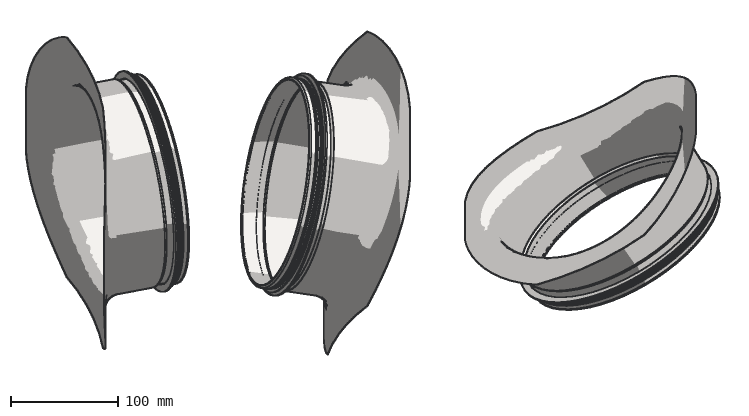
import cadquery as cq
import math


flange_width = 244.0
flange_height = 282.0
overall_depth = 91.09

sheet = 0.5
duct_radius = 315.0

collar_outer_radius = 197.95 / 2
collar_inner_radius = collar_outer_radius - sheet
spigot_outer_radius = 194.15 / 2
spigot_inner_radius = spigot_outer_radius - sheet
hem_outer_radius = 198.95 / 2
hem_inner_radius = hem_outer_radius - sheet

hem_depth = 6.0
rim_rounding = 1.8
step_start = 21.6
step_end = 24.0
duct_sag = duct_radius - math.sqrt(duct_radius**2 - (flange_width / 2) ** 2)
saddle_depth = overall_depth - duct_sag
duct_axis_y = -(saddle_depth + duct_radius)

saddle_fillet = 15.0

flat_end_half_width = 56.7
flat_side_half_height = 36.0
corner_arc_x = 95.0
corner_arc_z = 106.6

trim_margin = 20.0

seal_inner_radius = 195.35 / 2
seal_outer_radius = 197.95 / 2
seal_end = 15.2
seal_ribs = [
    (198.95 / 2, 7.3, 8.2),
    (204.35 / 2, 10.2, 11.1),
    (209.35 / 2, 13.6, seal_end),
]


def revolve_about_branch(profile):
    """Turn a closed profile, with X as radius, about the branch axis."""
    return profile.close().revolve(360, (0, 0, 0), (0, 1, 0))


def saddle_form(skin_radius, post_radius, fillet_radius):
    """Solid duct segment with a solid post standing on it and a rounded joint."""
    width = flange_width + 2 * trim_margin
    length = flange_height + 2 * trim_margin
    depth = 2 * (overall_depth + trim_margin)
    duct = (
        cq.Workplane("XY")
        .center(0, duct_axis_y)
        .circle(skin_radius)
        .extrude(length / 2, both=True)
    )
    window = cq.Workplane("XY").box(width, depth, length)
    post = (
        cq.Workplane("XZ", origin=(0, -step_end, 0))
        .circle(post_radius)
        .extrude(overall_depth - step_end)
    )
    form = duct.intersect(window).union(post)
    joint = cq.selectors.BoxSelector(
        (-post_radius - 1, -overall_depth, -post_radius - 1),
        (post_radius + 1, -step_end - 1, post_radius + 1),
        boundingbox=True,
    )
    return form.edges(joint).fillet(fillet_radius)


def flange_blank():
    """Prism along Y with the outline of the flange."""
    half_width = flange_width / 2
    half_height = flange_height / 2
    return (
        cq.Workplane("XZ")
        .moveTo(-flat_end_half_width, half_height)
        .lineTo(flat_end_half_width, half_height)
        .threePointArc((corner_arc_x, corner_arc_z), (half_width, flat_side_half_height))
        .lineTo(half_width, -flat_side_half_height)
        .threePointArc((corner_arc_x, -corner_arc_z), (flat_end_half_width, -half_height))
        .lineTo(-flat_end_half_width, -half_height)
        .threePointArc((-corner_arc_x, -corner_arc_z), (-half_width, -flat_side_half_height))
        .lineTo(-half_width, flat_side_half_height)
        .threePointArc((-corner_arc_x, corner_arc_z), (-flat_end_half_width, half_height))
        .close()
        .extrude(overall_depth)
    )


def make_saddle():
    """Curved flange and collar, one sheet thick."""
    outside = saddle_form(duct_radius + sheet, collar_outer_radius, saddle_fillet - sheet)
    inside = saddle_form(duct_radius, collar_inner_radius, saddle_fillet)
    return outside.cut(inside).intersect(flange_blank())


def make_spigot():
    """Spigot sheet with a folded-back hem at the end and a conical step up to the collar."""
    profile = (
        cq.Workplane("XY")
        .moveTo(collar_inner_radius, -step_end)
        .lineTo(spigot_inner_radius, -step_start)
        .lineTo(spigot_inner_radius, 0)
        .lineTo(hem_outer_radius - rim_rounding, 0)
        .radiusArc((hem_outer_radius, -rim_rounding), rim_rounding)
        .lineTo(hem_outer_radius, -hem_depth)
        .lineTo(hem_inner_radius, -hem_depth)
        .lineTo(hem_inner_radius, -rim_rounding)
        .radiusArc((hem_outer_radius - rim_rounding, -sheet), -(rim_rounding - sheet))
        .lineTo(spigot_outer_radius, -sheet)
        .lineTo(spigot_outer_radius, -step_start)
        .lineTo(collar_outer_radius, -step_end)
    )
    return revolve_about_branch(profile)


def make_seal():
    """Rubber ring held under the hem, with a bead and two sealing lips."""
    profile = (
        cq.Workplane("XY")
        .moveTo(seal_inner_radius, -seal_end)
        .lineTo(seal_inner_radius, -rim_rounding)
        .lineTo(seal_outer_radius, -rim_rounding)
    )
    for rib_radius, rib_top, rib_bottom in seal_ribs:
        profile = (
            profile.lineTo(seal_outer_radius, -rib_top)
            .lineTo(rib_radius, -rib_top)
            .lineTo(rib_radius, -rib_bottom)
            .lineTo(seal_outer_radius, -rib_bottom)
        )
    return revolve_about_branch(profile)


fitting = make_saddle().union(make_spigot())
seal = make_seal()

result = cq.Compound.makeCompound([fitting.val(), seal.val()])